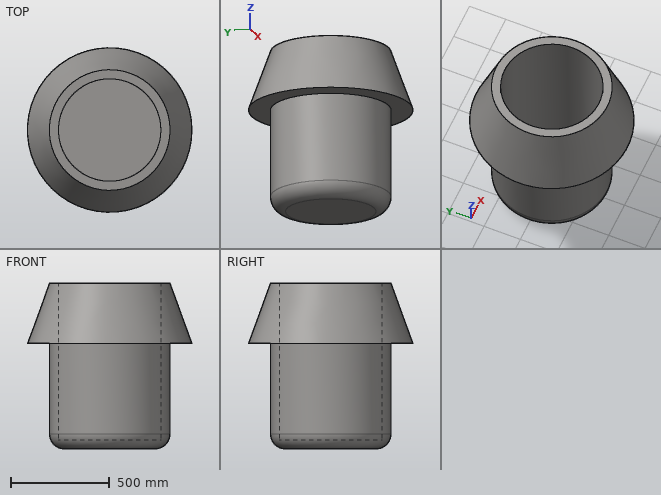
import cadquery as cq
import math

height = 838.0
body_diameter = 610.0
bore_diameter = 518.0
collar_height = 305.0
collar_angle = 20.0
bottom_radius = 76.0

body_radius = body_diameter / 2
bore_radius = bore_diameter / 2
wall = body_radius - bore_radius
collar_radius = body_radius + collar_height * math.tan(math.radians(collar_angle))
collar_base = height - collar_height


def make_body():
    """Cylinder standing on Z = 0 with a rounded bottom edge."""
    body = cq.Workplane("XY").circle(body_radius).extrude(height)
    return body.faces("<Z").edges().fillet(bottom_radius)


def make_collar():
    """Tapered collar, widest at its base and flush with the body at the rim."""
    half_section = (
        cq.Workplane("XZ")
        .moveTo(0, collar_base)
        .lineTo(collar_radius, collar_base)
        .lineTo(body_radius, height)
        .lineTo(0, height)
        .close()
    )
    return half_section.revolve(360, (0, 0, 0), (0, 1, 0))


def make_bore():
    """Blind bore from the rim, leaving a floor as thick as the wall."""
    return cq.Workplane("XY").workplane(offset=wall).circle(bore_radius).extrude(height - wall)


result = make_body().union(make_collar()).cut(make_bore())